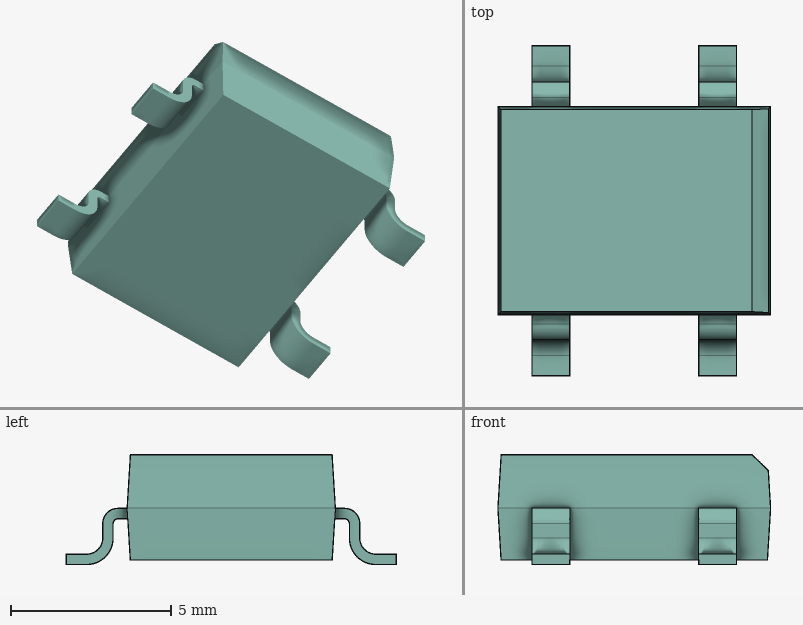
import cadquery as cq
import math

body_length = 8.51
body_width = 6.5
overall_height = 3.43
standoff = 0.14
parting_z = 1.76
draft_angle = 3.5
chamfer_run = 0.51
chamfer_drop = 0.49

lead_span = 10.3
lead_pitch = 5.2
lead_breadth = 1.19
lead_thickness = 0.33
foot_length = 0.64
lower_inner_radius = 0.5
upper_outer_radius = 0.48
lead_embed = 0.5


def tapered_half(height, direction):
    """Half of the body, narrowing from the parting plane; direction is +1 up, -1 down."""
    inset = height * math.tan(math.radians(draft_angle))
    return (
        cq.Workplane("XY", origin=(0, 0, parting_z))
        .rect(body_length, body_width)
        .workplane(offset=direction * height)
        .rect(body_length - 2 * inset, body_width - 2 * inset)
        .loft(ruled=True)
    )


def edge_chamfer_cutter():
    """Wedge removing the top edge on the +X side; its slope is extended past the body."""
    upper_height = overall_height - parting_z
    taper = math.tan(math.radians(draft_angle))
    lower_x = body_length / 2 - (upper_height - chamfer_drop) * taper
    upper_x = lower_x - chamfer_run
    lower_z = overall_height - chamfer_drop
    return (
        cq.Workplane("XZ")
        .moveTo(upper_x, overall_height)
        .lineTo(lower_x + chamfer_run, lower_z - chamfer_drop)
        .lineTo(lower_x + chamfer_run, overall_height)
        .close()
        .extrude(body_width / 2, both=True)
    )


def bend_point(center, radius, angle):
    """Point on a bend arc, at an angle in degrees measured from +Y towards +Z."""
    turn = math.radians(angle)
    return (center[0] + radius * math.cos(turn), center[1] + radius * math.sin(turn))


def lead(x_center):
    """S-shaped lead on the +Y side, seated on Z = 0."""
    toe_y = lead_span / 2
    lower_outer_radius = lower_inner_radius + lead_thickness
    upper_inner_radius = upper_outer_radius - lead_thickness
    lower_center = (toe_y - foot_length, lower_outer_radius)
    outer_face_y = lower_center[0] - lower_inner_radius
    upper_center = (outer_face_y - upper_outer_radius, parting_z - upper_outer_radius)
    root_y = body_width / 2 - lead_embed
    return (
        cq.Workplane("YZ", origin=(x_center - lead_breadth / 2, 0, 0))
        .moveTo(root_y, parting_z)
        .lineTo(*bend_point(upper_center, upper_outer_radius, 90))
        .threePointArc(
            bend_point(upper_center, upper_outer_radius, 45),
            bend_point(upper_center, upper_outer_radius, 0),
        )
        .lineTo(*bend_point(lower_center, lower_inner_radius, 180))
        .threePointArc(
            bend_point(lower_center, lower_inner_radius, 225),
            bend_point(lower_center, lower_inner_radius, 270),
        )
        .lineTo(toe_y, lead_thickness)
        .lineTo(toe_y, 0)
        .lineTo(*bend_point(lower_center, lower_outer_radius, 270))
        .threePointArc(
            bend_point(lower_center, lower_outer_radius, 225),
            bend_point(lower_center, lower_outer_radius, 180),
        )
        .lineTo(*bend_point(upper_center, upper_inner_radius, 0))
        .threePointArc(
            bend_point(upper_center, upper_inner_radius, 45),
            bend_point(upper_center, upper_inner_radius, 90),
        )
        .lineTo(root_y, parting_z - lead_thickness)
        .close()
        .extrude(lead_breadth)
    )


upper_half = tapered_half(overall_height - parting_z, 1).cut(edge_chamfer_cutter())
lower_half = tapered_half(parting_z - standoff, -1)
result = upper_half.union(lower_half)

for x_side in (-1, 1):
    back_lead = lead(x_side * lead_pitch / 2)
    front_lead = back_lead.mirror("XZ")
    result = result.union(back_lead).union(front_lead)